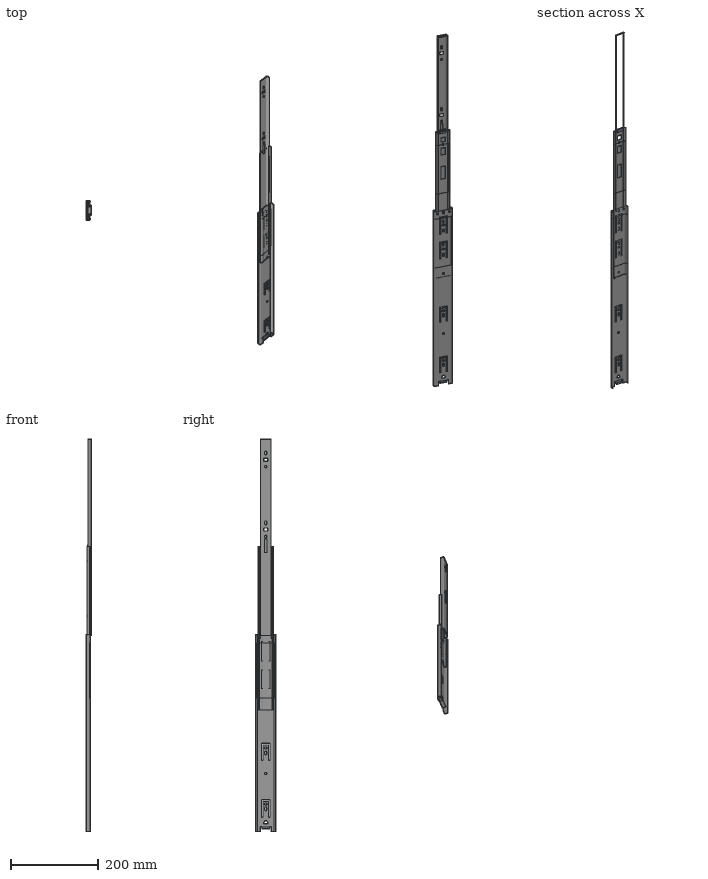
import cadquery as cq

SLIDE_DEPTH = 13.0
SLIDE_WIDTH = 46.0
SLIDE_LENGTH = 900.0

WALL = 1.2
BEND = 3.0
SLOT_WIDTH = 4.0
SLOT_LENGTH = 8.0
SHORT_SLOT_LENGTH = 5.0
HOLE_DIAMETER = 4.5

EMBOSS_DEPTH = 0.7
EMBOSS_FLAT_WIDTH = 13.5
EMBOSS_FOOT_WIDTH = 19.0


def block(x0, x1, width, z0, z1):
    """Box centred on Y = 0."""
    box = cq.Workplane().box(x1 - x0, width, z1 - z0, centered=(False, True, False))
    return box.translate((x0, 0, z0))


def web_plane(y, z):
    """Workplane on X = 0 with its origin at (y, z), for cuts through a web."""
    return cq.Workplane("YZ").center(y, z)


def cut_round_hole(rail, y, z):
    return rail.cut(web_plane(y, z).circle(HOLE_DIAMETER / 2).extrude(WALL + EMBOSS_DEPTH))


def cut_slot(rail, z, length):
    """Slot along Z through the middle of a web."""
    return rail.cut(web_plane(0, z).slot2D(length, SLOT_WIDTH, 90).extrude(WALL))


def channel(width, depth, wall, bend, z0, z1, lip=0):
    """Channel with its web on X = 0, open toward +X; a lip turns the flange edges inward."""
    bent_edges = "|Z" if lip else "|Z and <X"
    inside_end = depth - wall if lip else depth
    body = block(0, depth, width, z0, z1).edges(bent_edges).fillet(bend)
    inside = block(wall, inside_end, width - 2 * wall, z0, z1).edges(bent_edges).fillet(bend - wall)
    body = body.cut(inside)
    if lip:
        body = body.cut(block(depth / 2, depth, width - 2 * lip, z0, z1))
    return body


def emboss(body, wall, z0, z1):
    """Shift the middle of a channel's web toward +X by the emboss depth, with sloped sides."""
    def ridge(x):
        foot = [(x, -EMBOSS_FOOT_WIDTH / 2), (x, EMBOSS_FOOT_WIDTH / 2)]
        crest_x = x + EMBOSS_DEPTH
        crest = [(crest_x, EMBOSS_FLAT_WIDTH / 2), (crest_x, -EMBOSS_FLAT_WIDTH / 2)]
        return cq.Workplane("XY", origin=(0, 0, z0)).polyline(foot + crest).close().extrude(z1 - z0)

    return body.union(ridge(wall)).cut(ridge(0))


OUTER_DEPTH = 10.0
OUTER_TOP = 452.0
OUTER_LIP = 4.05

HANGERS = [
    (436.0, 391.5, 414.0, [(423.0, SLOT_LENGTH), (400.0, SLOT_LENGTH)]),
    (371.0, 328.0, 352.0, [(362.0, SHORT_SLOT_LENGTH), (337.0, SLOT_LENGTH)]),
    (202.5, 164.0, 192.0, [(180.0, SLOT_LENGTH)]),
    (73.0, 33.0, 63.0, [(52.0, SLOT_LENGTH)]),
]
TONGUE_WIDTH = 13.5
HANGER_WIDTH = 19.0
HANGER_GAP = 4.0
TONGUE_STEP = 0.4

SCREW_HOLE_HEIGHTS = [288.0, 133.0]
TOP_HOLES_Z = 445.5
SIDE_HOLE_SPACING = 29.0

KEY_HOLE_Z = 18.0
KEY_HOLE_WIDTH = 8.0
KEY_HOLE_SHOULDER = 3.0
KEY_HOLE_HEIGHT = 6.0
KEY_HOLE_TOP_WIDTH = 4.0

END_NOTCH_WIDTH = 24.0
END_NOTCH_HEIGHT = 11.0
END_TAB_WIDTH = 18.0
END_TAB_Z = 5.0
END_TAB_REACH = 9.0


def cut_hanger(rail, top, bottom, step_z, slots):
    """Inverted U-shaped cut that leaves a stepped tongue joined at its lower end."""
    gap = block(0, WALL, HANGER_WIDTH, bottom, top)
    gap = gap.cut(block(0, WALL, TONGUE_WIDTH, bottom, top - HANGER_GAP))
    rail = rail.cut(gap)
    rail = rail.cut(block(0, TONGUE_STEP, TONGUE_WIDTH, step_z, top))
    for z, length in slots:
        rail = cut_slot(rail, z, length)
    return cut_round_hole(rail, 0, step_z)


def cut_key_hole(rail):
    """Rectangular hole that tapers toward its upper end."""
    right_side = [
        (KEY_HOLE_WIDTH / 2, 0),
        (KEY_HOLE_WIDTH / 2, KEY_HOLE_SHOULDER),
        (KEY_HOLE_TOP_WIDTH / 2, KEY_HOLE_HEIGHT),
    ]
    left_side = [(-y, z) for y, z in reversed(right_side)]
    return rail.cut(web_plane(0, KEY_HOLE_Z).polyline(right_side + left_side).close().extrude(WALL))


def add_end_tab(rail):
    """Notch in the lower end of the web with a set-back L-shaped tab bent into the channel."""
    rail = rail.cut(block(0, WALL, END_NOTCH_WIDTH, 0, END_NOTCH_HEIGHT))
    rail = rail.union(block(TONGUE_STEP, WALL, END_TAB_WIDTH, END_TAB_Z, END_NOTCH_HEIGHT))
    return rail.union(block(TONGUE_STEP, END_TAB_REACH, END_TAB_WIDTH, END_TAB_Z, END_TAB_Z + WALL))


def make_outer_rail():
    rail = channel(SLIDE_WIDTH, OUTER_DEPTH, WALL, BEND, 0, OUTER_TOP, OUTER_LIP)
    for hanger in HANGERS:
        rail = cut_hanger(rail, *hanger)
    for z in SCREW_HOLE_HEIGHTS:
        rail = cut_round_hole(rail, 0, z)
    rail = cut_slot(rail, TOP_HOLES_Z, SHORT_SLOT_LENGTH)
    for side in (-1, 1):
        rail = cut_round_hole(rail, side * SIDE_HOLE_SPACING / 2, TOP_HOLES_Z)
    rail = cut_key_hole(rail)
    return add_end_tab(rail)


MIDDLE_BACK = 2.0
MIDDLE_WIDTH = 35.0
MIDDLE_DEPTH = 7.0
MIDDLE_BOTTOM = 279.0
MIDDLE_TOP = 654.0
MIDDLE_LIP = 4.0

WEB_WINDOWS = [(628.0, 639.0), (595.0, 612.0), (532.0, 564.0)]
WEB_WINDOW_WIDTH = 11.0
WEB_HOLE_Z = 621.0


def make_middle_rail():
    rail = channel(MIDDLE_WIDTH, MIDDLE_DEPTH, WALL, BEND, MIDDLE_BOTTOM, MIDDLE_TOP, MIDDLE_LIP)
    rail = emboss(rail, WALL, MIDDLE_BOTTOM, MIDDLE_TOP)
    for z0, z1 in WEB_WINDOWS:
        rail = rail.cut(block(0, WALL + EMBOSS_DEPTH, WEB_WINDOW_WIDTH, z0, z1))
    rail = cut_round_hole(rail, 0, WEB_HOLE_Z)
    return rail.translate((MIDDLE_BACK, 0, 0))


INNER_WIDTH = 24.0
INNER_DEPTH = 8.55
INNER_BOTTOM = 450.0

HOLE_GROUP_TOPS = [868.5, 708.0]
WINDOW_DROP = 15.0
LOW_SLOT_DROP = 31.5
WINDOW_WIDTH = 9.0
WINDOW_HEIGHT = 6.0

TOP_TAB_WIDTH = 16.0


def make_inner_rail():
    """Channel open toward -X with two groups of holes and a bent tab across its upper end."""
    rail = channel(INNER_WIDTH, INNER_DEPTH, WALL, BEND, INNER_BOTTOM, SLIDE_LENGTH)
    for top in HOLE_GROUP_TOPS:
        rail = cut_slot(rail, top, SLOT_LENGTH)
        rail = rail.cut(web_plane(0, top - WINDOW_DROP).rect(WINDOW_WIDTH, WINDOW_HEIGHT).extrude(WALL))
        rail = cut_slot(rail, top - LOW_SLOT_DROP, SHORT_SLOT_LENGTH)
    rail = rail.union(block(0, INNER_DEPTH, TOP_TAB_WIDTH, SLIDE_LENGTH - WALL, SLIDE_LENGTH))
    return rail.mirror("YZ").translate((SLIDE_DEPTH, 0, 0))


CAGE_WALL = 0.4
CAGE_BEND = 1.0

OUTER_CAGE_BACK = 1.35
OUTER_CAGE_WIDTH = 40.0
OUTER_CAGE_DEPTH = 6.75
OUTER_CAGE_ENDS = (306.0, 432.0)

INNER_CAGE_BACK = MIDDLE_BACK + WALL
INNER_CAGE_WIDTH = 29.0
INNER_CAGE_DEPTH = 4.5
INNER_CAGE_ENDS = (495.0, 621.0)


def make_outer_cage():
    """Thin channel between the outer and middle rails."""
    cage = channel(OUTER_CAGE_WIDTH, OUTER_CAGE_DEPTH, CAGE_WALL, CAGE_BEND, *OUTER_CAGE_ENDS)
    return cage.translate((OUTER_CAGE_BACK, 0, 0))


def make_inner_cage():
    """Thin channel lying against the middle rail, between it and the inner rail."""
    cage = channel(INNER_CAGE_WIDTH, INNER_CAGE_DEPTH, CAGE_WALL, CAGE_BEND, *INNER_CAGE_ENDS)
    cage = emboss(cage, CAGE_WALL, *INNER_CAGE_ENDS)
    return cage.translate((INNER_CAGE_BACK, 0, 0))


LEVER_THICKNESS = 1.0
LEVER_WIDTH = 5.0
LEVER_CORNER = 1.35
LEVER_BOTTOM = 640.0
LEVER_TOP = 671.0

STOP_FRONT = 10.0
STOP_WIDTH = 16.0
STOP_BOTTOM = 650.0
STOP_TOP = 657.0


def make_lever():
    """Flat strip with rounded corners on the inside of the inner rail's web."""
    web_inside = SLIDE_DEPTH - WALL
    lever = block(web_inside - LEVER_THICKNESS, web_inside, LEVER_WIDTH, LEVER_BOTTOM, LEVER_TOP)
    return lever.edges("|X").fillet(LEVER_CORNER)


def make_end_stop():
    """Block on the embossed web of the middle rail, standing slightly above its upper end."""
    web_inside = MIDDLE_BACK + WALL + EMBOSS_DEPTH
    return block(web_inside, STOP_FRONT, STOP_WIDTH, STOP_BOTTOM, STOP_TOP)


outer_rail = make_outer_rail()
middle_rail = make_middle_rail()
inner_rail = make_inner_rail()
outer_cage = make_outer_cage()
inner_cage = make_inner_cage()
lever = make_lever()
end_stop = make_end_stop()

bodies = [outer_rail, middle_rail, inner_rail, outer_cage, inner_cage, lever, end_stop]
result = cq.Compound.makeCompound([body.solids().val() for body in bodies])